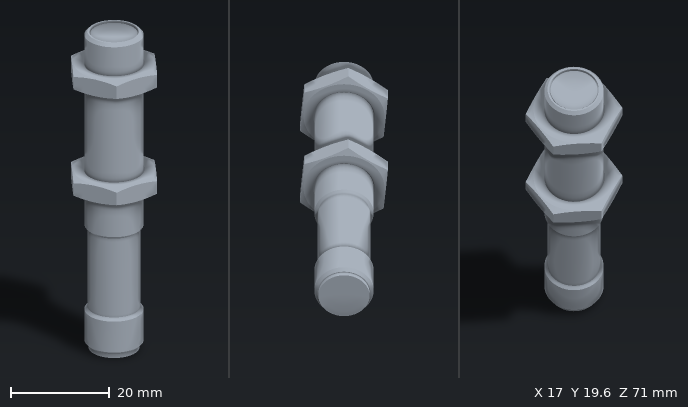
import cadquery as cq
import math

length = 71.0
barrel_diameter = 12.0
neck_diameter = 10.7
edge_chamfer = (barrel_diameter - neck_diameter) / 2
barrel_bottom = 27.0

collar_top = 9.2
collar_bottom = 1.0
tip_diameter = 10.4

recess_diameter = 10.0
face_diameter = 9.5
face_drop = 0.35
gap_depth = 0.65

hexagon_sides = 6
nut_width = 17.0
nut_thickness = 4.0
nut_bottoms = (36.1, 60.0)
nut_bevel_diameter = 16.4
nut_bevel_angle = 20.0
nut_mouth_diameter = 12.4


def make_body():
    """Turned body: tip, collar, neck and barrel, revolved about Z."""
    tip_radius = tip_diameter / 2
    neck_radius = neck_diameter / 2
    barrel_radius = barrel_diameter / 2
    profile = [
        (0, 0),
        (tip_radius, 0),
        (tip_radius, collar_bottom),
        (neck_radius, collar_bottom),
        (barrel_radius, collar_bottom + edge_chamfer),
        (barrel_radius, collar_top - edge_chamfer),
        (neck_radius, collar_top),
        (neck_radius, barrel_bottom),
        (barrel_radius, barrel_bottom + edge_chamfer),
        (barrel_radius, length - edge_chamfer),
        (neck_radius, length),
        (0, length),
    ]
    return cq.Workplane("XZ").polyline(profile).close().revolve(360, (0, 0), (0, 1))


def make_face_recess():
    """Material removed above and around the sensing face, open at the top of the barrel."""
    recess = (
        cq.Workplane("XY", origin=(0, 0, length - gap_depth))
        .circle(recess_diameter / 2)
        .extrude(gap_depth)
    )
    face_disc = (
        cq.Workplane("XY", origin=(0, 0, length - gap_depth))
        .circle(face_diameter / 2)
        .extrude(gap_depth - face_drop)
    )
    return recess.cut(face_disc)


def make_nut(bottom):
    """Hexagonal nut with flats facing X, bevelled corners and a countersunk bore."""
    corner_radius = nut_width / math.sqrt(3)
    bevel_radius = nut_bevel_diameter / 2
    bevel_height = (corner_radius - bevel_radius) * math.tan(math.radians(nut_bevel_angle))
    bore_radius = barrel_diameter / 2
    mouth_radius = nut_mouth_diameter / 2
    mouth_depth = mouth_radius - bore_radius

    hexagon = (
        cq.Workplane("XY")
        .polygon(hexagon_sides, 2 * corner_radius)
        .extrude(nut_thickness)
        .rotate((0, 0, 0), (0, 0, 1), 180 / hexagon_sides)
    )
    turned_profile = [
        (bore_radius, mouth_depth),
        (mouth_radius, 0),
        (bevel_radius, 0),
        (corner_radius, bevel_height),
        (corner_radius, nut_thickness - bevel_height),
        (bevel_radius, nut_thickness),
        (mouth_radius, nut_thickness),
        (bore_radius, nut_thickness - mouth_depth),
    ]
    turned = cq.Workplane("XZ").polyline(turned_profile).close().revolve(360, (0, 0), (0, 1))
    return hexagon.intersect(turned).translate((0, 0, bottom))


result = make_body().cut(make_face_recess())
for nut_bottom in nut_bottoms:
    result = result.union(make_nut(nut_bottom))